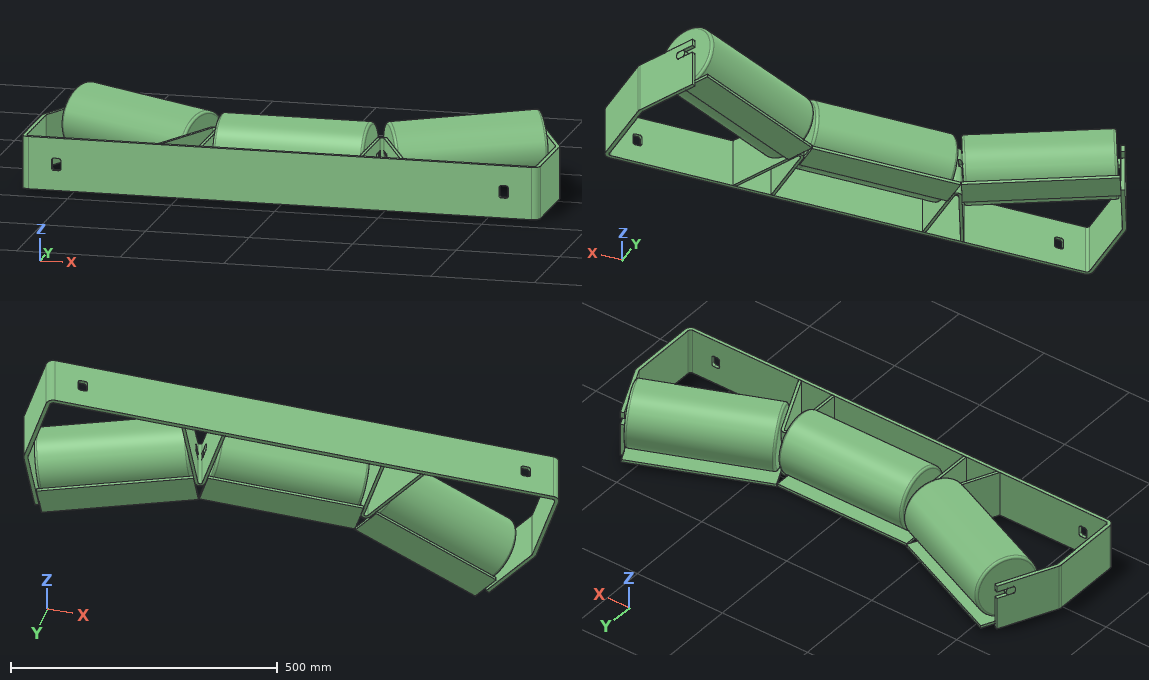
import cadquery as cq
import math


frame_length = 1000.0
frame_height = 101.5
frame_thickness = 8.0
frame_bend_radius = 14.0
side_wall_depth = 168.0
arm_length = 134.5
trough_angle = 25.0
mount_slot_width = 18.0
mount_slot_height = 24.0
mount_slot_corner_radius = 5.0
mount_slot_spacing = 864.0

bracket_thickness = 6.0
bracket_bend_radius = 10.0
bracket_gap = 304.0

roller_diameter = 133.0
roller_length = 291.0
roller_end_fillet = 5.0
shaft_diameter = 20.0
shaft_flat_height = 15.0
tilt_angle = 2.0
centre_axis_y = 126.0
centre_axis_z = 69.5
side_axis_offset = 45.7
side_axis_z = 74.5

bar_width = 60.0
bar_thickness = 6.0
side_bar_length = 298.3

cos_trough = math.cos(math.radians(trough_angle))
sin_trough = math.sin(math.radians(trough_angle))
cos_tilt = math.cos(math.radians(tilt_angle))
sin_tilt = math.sin(math.radians(tilt_angle))

half_length = frame_length / 2
roller_radius = roller_diameter / 2


def along_left_axis(x, y):
    """Distance of a plan point from the origin, measured along the left roller axis."""
    return x * cos_trough - y * sin_trough


def left_point(along, across):
    """Plan point from its coordinates along and across the left roller axis."""
    return along * cos_trough + across * sin_trough, across * cos_trough - along * sin_trough


arm_outer = along_left_axis(-half_length, side_wall_depth)
arm_inner = arm_outer + frame_thickness
side_gap = side_bar_length * cos_tilt + bar_thickness * sin_tilt
leg_outer = arm_inner + side_gap
bar_centre_drop = roller_radius + bar_thickness / 2
side_centre_along = (arm_inner + leg_outer) / 2 + bar_centre_drop * sin_tilt
side_centre = left_point(side_centre_along, side_axis_offset)


def place_centre(body):
    return body.translate((0, centre_axis_y, centre_axis_z))


def place_left(body):
    tilted = body.rotate((0, 0, 0), (0, 1, 0), tilt_angle)
    turned = tilted.rotate((0, 0, 0), (0, 0, 1), -trough_angle)
    return turned.translate((*side_centre, side_axis_z))


def mirrored(body):
    return body.mirror("YZ")


def shaft_section(start, end):
    """Round shaft with flats above and below, lying along X."""
    end_plane = cq.Workplane("YZ", origin=(start, 0, 0))
    shaft = end_plane.circle(shaft_diameter / 2).extrude(end - start)
    flats = end_plane.rect(shaft_diameter, shaft_flat_height).extrude(end - start)
    return shaft.intersect(flats)


def shaft_slot(start, end, depth):
    """Cutter for a slot that seats the shaft and opens towards +Y."""
    opening = cq.Workplane("XY").box(end - start, depth, shaft_flat_height, centered=(False, False, True))
    return shaft_section(start, end).union(opening.translate((start, 0, 0)))


def make_roller(shaft_start, shaft_end):
    shell = cq.Workplane("YZ", origin=(-roller_length / 2, 0, 0)).circle(roller_radius).extrude(roller_length)
    shell = shell.faces("<X or >X").edges().fillet(roller_end_fillet)
    return shell.union(shaft_section(shaft_start, shaft_end))


def make_bar(length):
    bar = cq.Workplane("XY").box(length, bar_width, bar_thickness, centered=(True, False, True))
    return bar.translate((0, 0, -bar_centre_drop))


side_shaft_start = arm_outer - side_centre_along
side_shaft_end = leg_outer + bracket_thickness - side_centre_along
centre_shaft_end = bracket_gap / 2 + bracket_thickness

slot_depth = 100.0
slot_overrun = 2.0


def make_frame():
    bend_setback = frame_thickness * math.tan(math.radians(trough_angle / 2))
    tip_x = -half_length + arm_length * sin_trough
    tip_y = side_wall_depth + arm_length * cos_trough
    inner_x = -half_length + frame_thickness
    wall_bend = (-half_length, side_wall_depth)
    inner_wall_bend = (inner_x, side_wall_depth - bend_setback)
    base_corner = (-half_length, 0)
    inner_base_corner = (inner_x, frame_thickness)
    outline = [
        (0, 0),
        base_corner,
        wall_bend,
        (tip_x, tip_y),
        (tip_x + frame_thickness * cos_trough, tip_y - frame_thickness * sin_trough),
        inner_wall_bend,
        inner_base_corner,
        (0, frame_thickness),
    ]
    half = cq.Workplane("XY").polyline(outline).close().extrude(frame_height)
    inner_radius = frame_bend_radius - frame_thickness
    for corner, radius in (
        (base_corner, frame_bend_radius),
        (wall_bend, frame_bend_radius),
        (inner_base_corner, inner_radius),
        (inner_wall_bend, inner_radius),
    ):
        edge = cq.selectors.NearestToPointSelector((*corner, frame_height / 2))
        half = half.edges("|Z").edges(edge).fillet(radius)
    slot = shaft_slot(side_shaft_start - slot_overrun, side_shaft_start + 2 * frame_thickness, slot_depth)
    half = half.cut(place_left(slot))
    frame = half.union(mirrored(half))
    mount_slots = (
        cq.Workplane("XZ", origin=(0, 0, frame_height / 2))
        .pushPoints([(-mount_slot_spacing / 2, 0), (mount_slot_spacing / 2, 0)])
        .rect(mount_slot_width, mount_slot_height)
        .extrude(-frame_thickness)
        .edges("|Y")
        .fillet(mount_slot_corner_radius)
    )
    return frame.cut(mount_slots)


def bracket_wedge(inset):
    """Filled wedge between the bracket faces, both moved inwards by the inset."""
    straight_x = -bracket_gap / 2 - inset
    slant = leg_outer + inset
    foot_x = (slant + frame_thickness * sin_trough) / cos_trough
    apex_y = (straight_x * cos_trough - slant) / sin_trough
    wedge = (
        cq.Workplane("XY")
        .polyline([(foot_x, frame_thickness), (straight_x, frame_thickness), (straight_x, apex_y)])
        .close()
        .extrude(frame_height)
    )
    return wedge.edges("|Z and >Y").fillet(bracket_bend_radius - inset)


def make_bracket():
    bracket = bracket_wedge(0).cut(bracket_wedge(bracket_thickness))
    centre_slot = shaft_slot(-centre_shaft_end, -bracket_gap / 2 + slot_overrun, slot_depth)
    side_slot = shaft_slot(side_shaft_end - 2 * bracket_thickness, side_shaft_end, slot_depth)
    return bracket.cut(place_centre(centre_slot)).cut(place_left(side_slot))


frame = make_frame()
left_bracket = make_bracket()
centre_roller = place_centre(make_roller(-centre_shaft_end, centre_shaft_end))
left_roller = place_left(make_roller(side_shaft_start, side_shaft_end))
centre_bar = place_centre(make_bar(bracket_gap))
left_bar = place_left(make_bar(side_bar_length))

bodies = [frame.solids().val(), centre_roller.solids().val(), centre_bar.solids().val()]
for left_body in (left_bracket, left_roller, left_bar):
    bodies.append(left_body.solids().val())
    bodies.append(mirrored(left_body).solids().val())

result = cq.Compound.makeCompound(bodies)